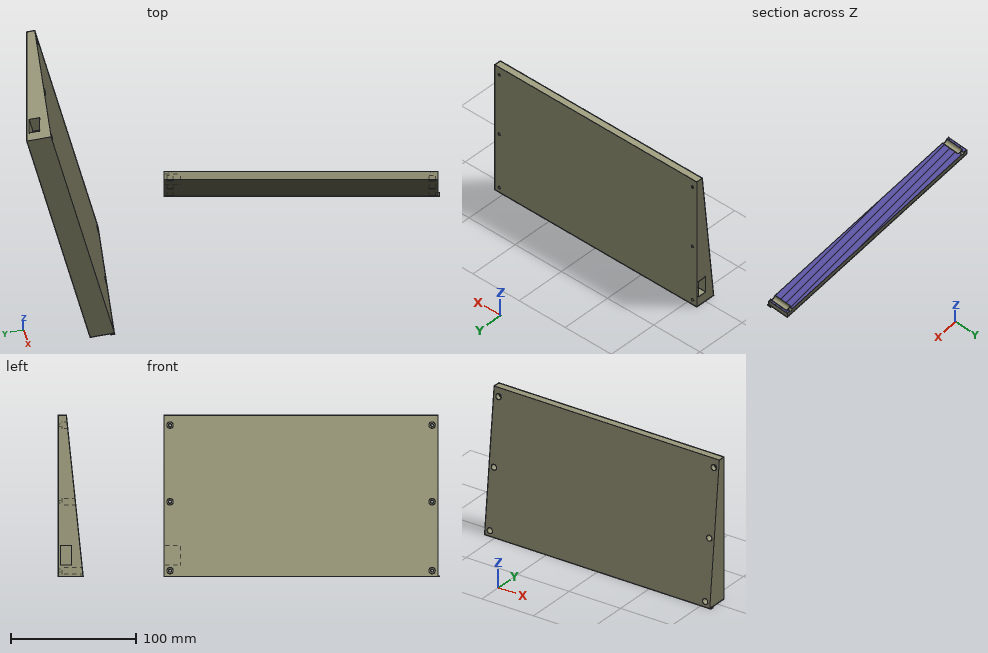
import cadquery as cq

overall_length = 220.0
tab_length = 1.0
body_length = overall_length - tab_length
height = 129.0
bottom_depth = 20.0
top_depth = 6.5

tab_width = 3.3
tab_height = 0.5

screw_diameter = 2.2
head_diameter = 5.0
head_seat_thickness = 3.0
hole_end_margin = 4.8
hole_xs = (hole_end_margin, body_length - hole_end_margin)
hole_zs = (4.8, 59.8, 121.0)

port_width = 8.5
port_height = 15.8
port_depth = 13.2
port_back_wall = 2.0
port_sill = 9.2


def make_body():
    profile = [(0, 0), (-bottom_depth, 0), (-top_depth, height), (0, height)]
    return cq.Workplane("YZ").polyline(profile).close().extrude(body_length)


def make_tab():
    block = cq.Workplane("XY").box(tab_length, tab_width, tab_height, centered=False)
    return block.translate((body_length, -bottom_depth, 0))


def make_hole(x, z, diameter, back_y):
    """Cylinder from back_y forward past the deepest part of the front."""
    return (
        cq.Workplane("XZ", origin=(x, back_y, z))
        .circle(diameter / 2)
        .extrude(bottom_depth)
    )


def make_port():
    block = cq.Workplane("XY").box(port_depth, port_width, port_height, centered=False)
    return block.translate((0, -port_back_wall - port_width, port_sill))


result = make_body().union(make_tab()).cut(make_port())
for hole_x in hole_xs:
    for hole_z in hole_zs:
        result = result.cut(make_hole(hole_x, hole_z, screw_diameter, 0))
        result = result.cut(make_hole(hole_x, hole_z, head_diameter, -head_seat_thickness))